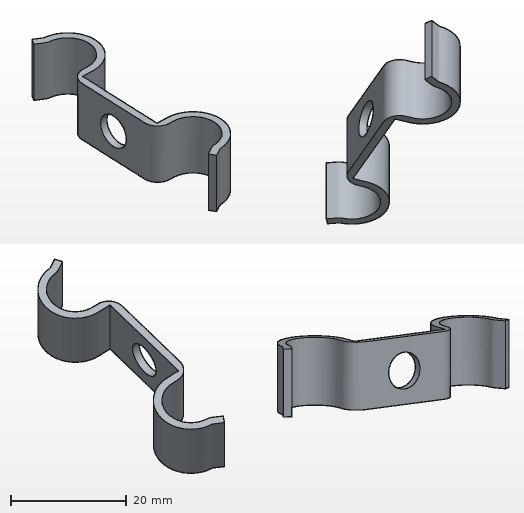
import cadquery as cq
import math

overall_length = 47.15
strip_width = 12.0
thickness = 1.5
pipe_spacing = 32.0
clip_outer_radius = 6.5
leg_length = 1.0
foot_bend_radius = 3.0
hole_diameter = 6.5
arc_end_angle = 5.4
lip_angle = 30.0
lip_bend_radius = 1.0

pipe_x = pipe_spacing / 2
clip_inner_radius = clip_outer_radius - thickness
leg_inner_x = pipe_x - clip_outer_radius
leg_outer_x = pipe_x - clip_inner_radius
foot_bottom_y = -leg_length - foot_bend_radius
foot_top_y = foot_bottom_y + thickness


def polar(center, radius, degrees):
    """Point at a radius and an angle around a centre."""
    angle = math.radians(degrees)
    return (center[0] + radius * math.cos(angle), center[1] + radius * math.sin(angle))


def half_strip():
    """Right half of the bent strip, from the middle of the foot to the lip."""
    pipe_center = (pipe_x, 0)
    foot_bend_center = (leg_outer_x - foot_bend_radius, -leg_length)
    arc_middle_angle = (180 + arc_end_angle) / 2

    lip_bend_center = polar(pipe_center, clip_outer_radius + lip_bend_radius, arc_end_angle)
    lip_bend_start = 180 + arc_end_angle
    lip_bend_end = 180 + lip_angle
    lip_bend_middle = (lip_bend_start + lip_bend_end) / 2
    lip_outer_radius = lip_bend_radius + thickness
    lip_root_concave = polar(lip_bend_center, lip_bend_radius, lip_bend_end)
    lip_root_convex = polar(lip_bend_center, lip_outer_radius, lip_bend_end)

    lip_direction = lip_angle - 90
    lip_reach = overall_length / 2 - lip_root_concave[0]
    lip_length = lip_reach / math.sin(math.radians(lip_angle))

    return (
        cq.Workplane("XY")
        .moveTo(0, foot_bottom_y)
        .lineTo(foot_bend_center[0], foot_bottom_y)
        .threePointArc(
            polar(foot_bend_center, foot_bend_radius, -45),
            (leg_outer_x, -leg_length),
        )
        .lineTo(leg_outer_x, 0)
        .threePointArc(
            polar(pipe_center, clip_inner_radius, arc_middle_angle),
            polar(pipe_center, clip_inner_radius, arc_end_angle),
        )
        .threePointArc(
            polar(lip_bend_center, lip_outer_radius, lip_bend_middle),
            lip_root_convex,
        )
        .lineTo(*polar(lip_root_convex, lip_length, lip_direction))
        .lineTo(*polar(lip_root_concave, lip_length, lip_direction))
        .lineTo(*lip_root_concave)
        .threePointArc(
            polar(lip_bend_center, lip_bend_radius, lip_bend_middle),
            polar(pipe_center, clip_outer_radius, arc_end_angle),
        )
        .threePointArc(
            polar(pipe_center, clip_outer_radius, arc_middle_angle),
            (leg_inner_x, 0),
        )
        .lineTo(leg_inner_x, foot_top_y)
        .lineTo(0, foot_top_y)
        .close()
        .extrude(strip_width / 2, both=True)
    )


def screw_hole():
    """Cutter for the hole through the middle of the foot."""
    return (
        cq.Workplane("XZ", origin=(0, foot_top_y, 0))
        .circle(hole_diameter / 2)
        .extrude(thickness)
    )


right_half = half_strip()
left_half = right_half.mirror("YZ")
result = right_half.union(left_half).clean().cut(screw_hole())